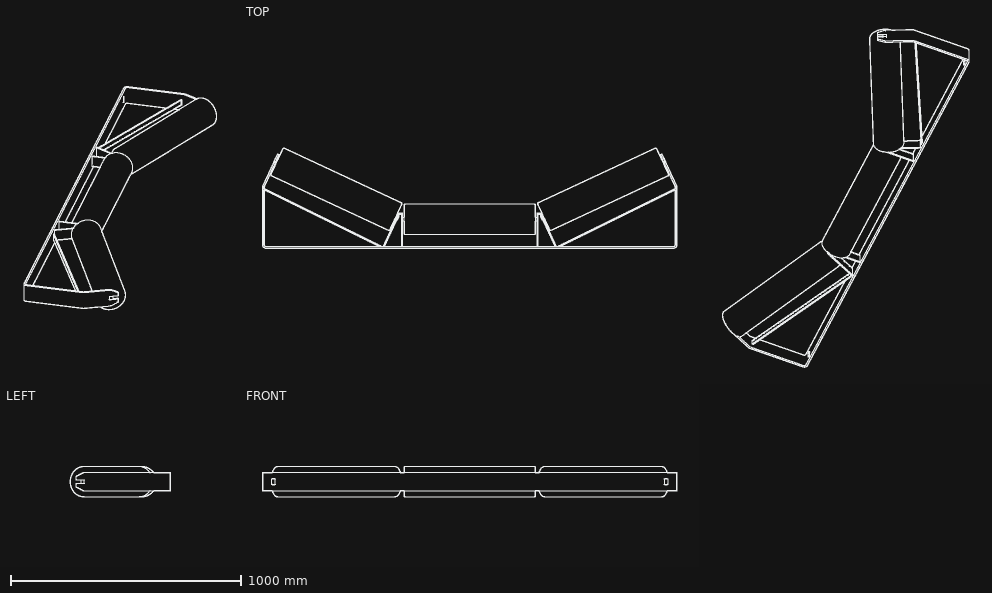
import cadquery as cq
import math

FRAME_LENGTH = 1800.0
BAR_WIDTH = 80.0
BAR_THICKNESS = 8.0
BEND_RADIUS = 15.0
UPRIGHT_HEIGHT = 270.0
END_PLATE_LENGTH = 155.0
END_TAPER_LENGTH = 35.0
END_TAPER_DEPTH = 16.0
FOOT_SLOT_SPACING = 1706.0
FOOT_SLOT_WIDTH = 16.0
FOOT_SLOT_LENGTH = 29.0

TILT = 25.0
OVERALL_HEIGHT = 435.0
ROLLER_DIAMETER = 133.0
ROLLER_LENGTH = 570.0
ROLLER_EDGE_RADIUS = 5.0
MIDDLE_ROLLER_Y = 126.0
SIDE_ROLLER_X = 580.0
SHAFT_SIZE = 16.0
SHAFT_LENGTH = 594.0
SHAFT_SLOT_LENGTH = 601.0

BRACKET_WIDTH = 50.0
BRACKET_THICKNESS = 5.0
BRACKET_HEIGHT = 153.0
BRACKET_TOP_WIDTH = 16.0
ROLLER_CLEARANCE = 7.0

BRACE_WIDTH = 25.0
BRACE_THICKNESS = 5.0
BRACE_FOOT_X = 382.0
BRACE_TOP_Y = 260.0

SIN_TILT = math.sin(math.radians(TILT))
COS_TILT = math.cos(math.radians(TILT))
HALF_LENGTH = FRAME_LENGTH / 2
UPRIGHT_INNER_X = HALF_LENGTH - BAR_THICKNESS
PLATE_TIP_X = HALF_LENGTH - END_PLATE_LENGTH * SIN_TILT
PLATE_TIP_Y = UPRIGHT_HEIGHT + END_PLATE_LENGTH * COS_TILT
SIDE_ROLLER_Y = (
    OVERALL_HEIGHT
    - (ROLLER_LENGTH / 2 - ROLLER_EDGE_RADIUS) * SIN_TILT
    - (ROLLER_DIAMETER / 2 - ROLLER_EDGE_RADIUS) * COS_TILT
    - ROLLER_EDGE_RADIUS
)
CUT_DEPTH = 2 * BAR_THICKNESS


def plate(points, width):
    """Prism with the given XY outline, centred on Z = 0."""
    return cq.Workplane("XY", origin=(0, 0, -width / 2)).polyline(points).close().extrude(width)


def at_roller(shape, side):
    """Move a shape from the origin to the left (-1), middle (0) or right (+1) roller."""
    height = SIDE_ROLLER_Y if side else MIDDLE_ROLLER_Y
    turned = shape.rotate((0, 0, 0), (0, 0, 1), side * TILT)
    return turned.translate((side * SIDE_ROLLER_X, height, 0))


def make_shaft_slot(side):
    """Open-topped channel that lets a roller shaft drop into its supports."""
    depth = ROLLER_DIAMETER
    slot = cq.Workplane("XY").box(SHAFT_SLOT_LENGTH, depth, SHAFT_SIZE)
    return at_roller(slot.translate((0, (depth - SHAFT_SIZE) / 2, 0)), side)


def make_roller(side):
    """Round drum and its shaft, as one solid."""
    drum = (
        cq.Workplane("YZ", origin=(-ROLLER_LENGTH / 2, 0, 0))
        .circle(ROLLER_DIAMETER / 2)
        .extrude(ROLLER_LENGTH)
        .faces("<X or >X")
        .fillet(ROLLER_EDGE_RADIUS)
    )
    shaft = cq.Workplane("XY").box(SHAFT_LENGTH, SHAFT_SIZE, SHAFT_SIZE)
    return at_roller(drum.union(shaft), side)


def make_frame():
    inner_bend_y = UPRIGHT_HEIGHT - BAR_THICKNESS * math.tan(math.radians(TILT / 2))
    outer_bends = [(HALF_LENGTH, 0), (HALF_LENGTH, UPRIGHT_HEIGHT)]
    inner_bends = [(UPRIGHT_INNER_X, inner_bend_y), (UPRIGHT_INNER_X, BAR_THICKNESS)]
    tip = [
        (PLATE_TIP_X, PLATE_TIP_Y),
        (PLATE_TIP_X - BAR_THICKNESS * COS_TILT, PLATE_TIP_Y - BAR_THICKNESS * SIN_TILT),
    ]
    right_side = outer_bends + tip + inner_bends
    left_side = [(-x, y) for x, y in reversed(right_side)]
    frame = plate(right_side + left_side, BAR_WIDTH)
    frame = round_bends(frame, outer_bends, BEND_RADIUS)
    frame = round_bends(frame, inner_bends, BEND_RADIUS - BAR_THICKNESS)
    for side in (-1, 1):
        frame = frame.cut(make_shaft_slot(side))
        for face in (-1, 1):
            frame = frame.cut(make_tip_corner(side, face))
    return frame.cut(make_foot_slots())


def round_bends(frame, bends, radius):
    """Round the frame's Z edges at the given places and their mirror images."""
    for x, y in bends:
        for side in (-1, 1):
            nearest = cq.NearestToPointSelector((side * x, y, 0))
            frame = frame.edges("|Z").edges(nearest).fillet(radius)
    return frame


def make_tip_corner(side, face):
    """Wedge that tapers one corner of an end plate's free end."""
    edge_z = face * BAR_WIDTH / 2
    corner = [
        (0, edge_z),
        (-END_TAPER_LENGTH, edge_z),
        (0, edge_z - face * END_TAPER_DEPTH),
    ]
    wedge = cq.Workplane("YZ").polyline(corner).close().extrude(CUT_DEPTH, both=True)
    turned = wedge.rotate((0, 0, 0), (0, 0, 1), side * TILT)
    return turned.translate((side * PLATE_TIP_X, PLATE_TIP_Y, 0))


def make_foot_slots():
    """Upright mounting slots through the base, near its ends."""
    return (
        cq.Workplane("XZ")
        .pushPoints([(-FOOT_SLOT_SPACING / 2, 0), (FOOT_SLOT_SPACING / 2, 0)])
        .slot2D(FOOT_SLOT_LENGTH, FOOT_SLOT_WIDTH, 90)
        .extrude(CUT_DEPTH, both=True)
    )


def make_bracket():
    """Bent strip standing on the base between the middle and right rollers."""
    face_x = ROLLER_LENGTH / 2 + ROLLER_CLEARANCE
    inner_x = face_x + BRACKET_THICKNESS
    inner_y = BRACKET_HEIGHT - BRACKET_THICKNESS
    top_x = face_x + BRACKET_TOP_WIDTH
    slope = SIN_TILT / COS_TILT
    foot_x = top_x + (BRACKET_HEIGHT - BAR_THICKNESS) * slope
    leg_width = BRACKET_THICKNESS / COS_TILT
    bracket = plate(
        [
            (face_x, BAR_THICKNESS),
            (face_x, BRACKET_HEIGHT),
            (top_x, BRACKET_HEIGHT),
            (foot_x, BAR_THICKNESS),
            (foot_x - leg_width, BAR_THICKNESS),
            (top_x + BRACKET_THICKNESS * slope - leg_width, inner_y),
            (inner_x, inner_y),
            (inner_x, BAR_THICKNESS),
        ],
        BRACKET_WIDTH,
    )
    return bracket.cut(make_shaft_slot(0)).cut(make_shaft_slot(1))


def make_brace():
    """Diagonal strip from the base to the right upright."""
    angle = math.atan2(BRACE_TOP_Y - BAR_THICKNESS, UPRIGHT_INNER_X - BRACE_FOOT_X)
    return plate(
        [
            (BRACE_FOOT_X, BAR_THICKNESS),
            (UPRIGHT_INNER_X, BRACE_TOP_Y),
            (UPRIGHT_INNER_X, BRACE_TOP_Y - BRACE_THICKNESS / math.cos(angle)),
            (BRACE_FOOT_X + BRACE_THICKNESS / math.sin(angle), BAR_THICKNESS),
        ],
        BRACE_WIDTH,
    )


bodies = [make_frame().solids().val()]
for side in (-1, 0, 1):
    bodies.append(make_roller(side).solids().val())
for right_body in (make_bracket(), make_brace()):
    bodies.append(right_body.solids().val())
    bodies.append(right_body.mirror("YZ").solids().val())

result = cq.Compound.makeCompound(bodies)